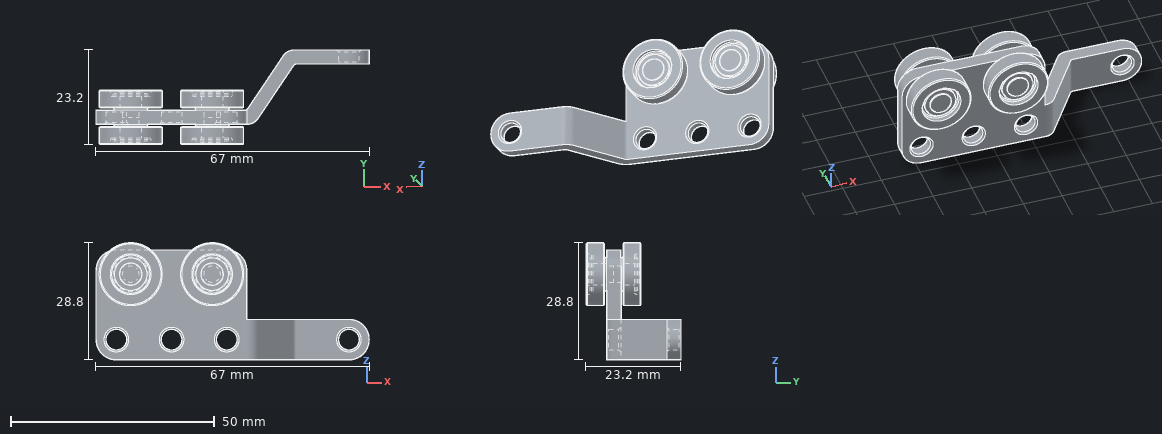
import cadquery as cq
import math

overall_length = 67.0
overall_depth = 23.25
plate_width = 37.0
plate_height = 27.0
sheet_thickness = 3.5
tab_height = 10.0
tab_radius = tab_height / 2
corner_radius = tab_radius

crank_start = 38.8
crank_end = 48.7
inner_bend_radius = 0.9
outer_bend_radius = 3.2

hole_diameter = 5.0
hole_chamfer = 0.5
first_hole_x = tab_radius
hole_pitch = 13.55
plate_hole_count = 3

roller_diameter = 15.5
roller_width = 4.5
roller_chamfer = 0.3
roller_gap = 0.5
recess_diameter = 10.0
recess_depth = 1.6
recess_floor_chamfer = 0.3
collar_diameter = 8.0
collar_flare = 0.3

head_diameter = 8.0
head_thickness = 0.75
boss_diameter = 5.5
boss_height = 0.35
shank_diameter = 5.2
spigot_diameter = 4.0
spigot_length = sheet_thickness / 2

first_axle_x = 8.5
axle_xs = [first_axle_x, plate_width - first_axle_x]
axle_z = 21.05

crank_offset = overall_depth - roller_width - roller_gap - sheet_thickness


def make_sheet():
    """Cranked strip of sheet, full plate height."""
    crank_angle = math.atan2(crank_offset, crank_end - crank_start)
    corner_shift = sheet_thickness * math.tan(crank_angle / 2)
    rear_start = crank_start - corner_shift
    rear_end = crank_end - corner_shift
    tab_rear_y = crank_offset + sheet_thickness
    sheet = (
        cq.Workplane("XY")
        .moveTo(0, 0)
        .lineTo(crank_start, 0)
        .lineTo(crank_end, crank_offset)
        .lineTo(overall_length, crank_offset)
        .lineTo(overall_length, tab_rear_y)
        .lineTo(rear_end, tab_rear_y)
        .lineTo(rear_start, sheet_thickness)
        .lineTo(0, sheet_thickness)
        .close()
        .extrude(plate_height)
    )
    inner_corners = [(crank_end, crank_offset), (rear_start, sheet_thickness)]
    outer_corners = [(crank_start, 0), (rear_end, tab_rear_y)]
    for corners, radius in ((inner_corners, inner_bend_radius), (outer_corners, outer_bend_radius)):
        for x, y in corners:
            bend_edge = cq.selectors.NearestToPointSelector((x, y, plate_height / 2))
            sheet = sheet.edges(bend_edge).fillet(radius)
    return sheet


def make_outline():
    """Front outline of the bracket, deep enough to cover the whole crank."""
    depth = crank_offset + sheet_thickness
    plate = (
        cq.Workplane("XZ")
        .rect(plate_width, plate_height, centered=False)
        .extrude(-depth)
        .edges("|Y and (<X or >Z)")
        .fillet(corner_radius)
    )
    tab = (
        cq.Workplane("XZ")
        .moveTo(corner_radius, 0)
        .lineTo(overall_length - tab_radius, 0)
        .threePointArc((overall_length, tab_radius), (overall_length - tab_radius, tab_height))
        .lineTo(corner_radius, tab_height)
        .close()
        .extrude(-depth)
    )
    return plate.union(tab)


def make_hole_cutter(x, face_y):
    """Through drill with both mouths chamfered, for the sheet with the given front face."""
    hole_radius = hole_diameter / 2
    mouth_radius = hole_radius + hole_chamfer
    return (
        cq.Workplane("XY")
        .lineTo(mouth_radius, 0)
        .lineTo(hole_radius, hole_chamfer)
        .lineTo(hole_radius, sheet_thickness - hole_chamfer)
        .lineTo(mouth_radius, sheet_thickness)
        .lineTo(0, sheet_thickness)
        .close()
        .revolve(360, (0, 0), (0, 1))
        .translate((x, face_y, tab_radius))
    )


def make_bracket():
    body = make_sheet().intersect(make_outline())
    for i in range(plate_hole_count):
        body = body.cut(make_hole_cutter(first_hole_x + i * hole_pitch, 0))
    body = body.cut(make_hole_cutter(overall_length - tab_radius, crank_offset))
    spigot_holes = (
        cq.Workplane("XZ")
        .pushPoints([(x, axle_z) for x in axle_xs])
        .circle(spigot_diameter / 2)
        .extrude(-sheet_thickness)
    )
    return body.cut(spigot_holes)


roller_inner_y = -roller_gap
roller_outer_y = roller_inner_y - roller_width
recess_floor_y = roller_outer_y + recess_depth


def make_roller():
    """Roller with an outer recess for the pin head and a flared thrust collar on its inner side."""
    radius = roller_diameter / 2
    recess_radius = recess_diameter / 2
    collar_radius = collar_diameter / 2
    bore_radius = shank_diameter / 2
    return (
        cq.Workplane("XY")
        .moveTo(bore_radius, 0)
        .lineTo(collar_radius, 0)
        .lineTo(collar_radius + collar_flare, roller_inner_y)
        .lineTo(radius - roller_chamfer, roller_inner_y)
        .lineTo(radius, roller_inner_y - roller_chamfer)
        .lineTo(radius, roller_outer_y + roller_chamfer)
        .lineTo(radius - roller_chamfer, roller_outer_y)
        .lineTo(recess_radius, roller_outer_y)
        .lineTo(recess_radius, recess_floor_y - recess_floor_chamfer)
        .lineTo(recess_radius - recess_floor_chamfer, recess_floor_y)
        .lineTo(bore_radius, recess_floor_y)
        .close()
        .revolve(360, (0, 0), (0, 1))
    )


def make_pin():
    """Shouldered pin: spigot in the bracket, shank in the roller, flat head with a raised boss."""
    head_y = recess_floor_y - head_thickness
    boss_y = head_y - boss_height
    return (
        cq.Workplane("XY")
        .moveTo(0, spigot_length)
        .lineTo(spigot_diameter / 2, spigot_length)
        .lineTo(spigot_diameter / 2, 0)
        .lineTo(shank_diameter / 2, 0)
        .lineTo(shank_diameter / 2, recess_floor_y)
        .lineTo(head_diameter / 2, recess_floor_y)
        .lineTo(head_diameter / 2, head_y)
        .lineTo(boss_diameter / 2, head_y)
        .lineTo(boss_diameter / 2, boss_y)
        .lineTo(0, boss_y)
        .close()
        .revolve(360, (0, 0), (0, 1))
    )


def place_on_axles(part):
    """One copy on each side of the bracket at every axle."""
    copies = []
    for x in axle_xs:
        front = part.translate((x, 0, axle_z))
        rear = front.mirror("XZ", (0, sheet_thickness / 2, 0))
        copies += [front.val(), rear.val()]
    return copies


bracket = make_bracket()
rollers = place_on_axles(make_roller())
pins = place_on_axles(make_pin())

result = cq.Compound.makeCompound([bracket.val(), *rollers, *pins])